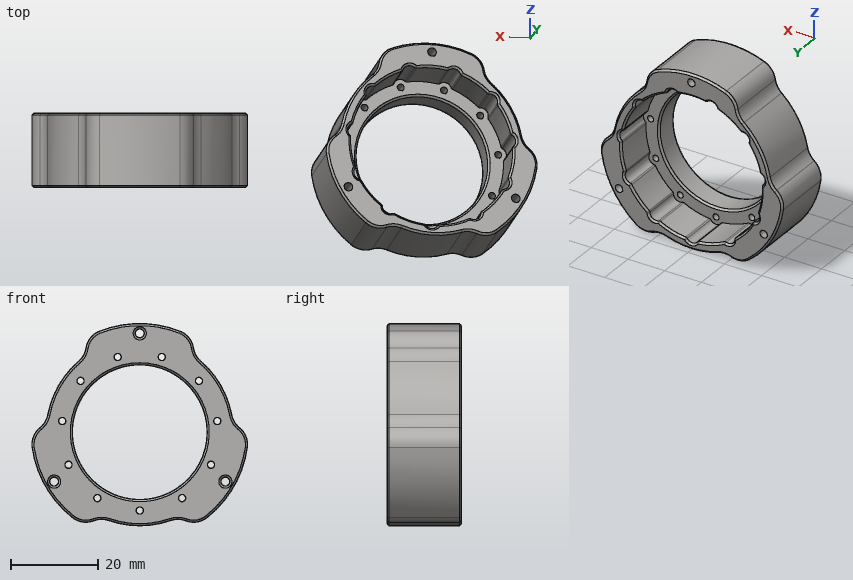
import cadquery as cq
import math

WIDTH = 17.1
EDGE_CHAMFER = 0.5

LOBE_COUNT = 3
LOBE_RADIUS = 25.0
WAIST_RADIUS = 21.5
BLEND_RADIUS = 5.0
LOBE_HALF_ANGLE = 21.8

BORE_RADIUS = 15.45
LIP_THICKNESS = 6.5

POCKET_RADIUS = 19.05
SCALLOP_RADIUS = 1.75
SCALLOP_DEPTH = 0.9
SCALLOP_EDGE_FILLET = 0.55

SCREW_COUNT = 11
SCREW_CIRCLE_RADIUS = 18.0
SCREW_HOLE_DIAMETER = 1.6

LOBE_HOLE_CIRCLE_RADIUS = 22.7
LOBE_HOLE_DIAMETER = 2.0
COUNTERSINK_DIAMETER = 3.02
COUNTERSINK_ANGLE = 90


def polar(radius, angle):
    """Point at an angle in degrees, clockwise from straight up (+Z)."""
    turn = math.radians(angle)
    return (radius * math.sin(turn), radius * math.cos(turn))


def point_towards(start, end, distance):
    """Point at a distance from start on the line to end."""
    share = distance / math.dist(start, end)
    return tuple(a + (b - a) * share for a, b in zip(start, end))


def arc_middle(centre, start, end):
    """Middle point of the short blend arc from start to end."""
    chord_middle = tuple((a + b) / 2 for a, b in zip(start, end))
    return point_towards(centre, chord_middle, BLEND_RADIUS)


def front_plane(depth=0):
    """Sketch plane facing -Y, at a depth behind the front face."""
    return cq.Workplane("XZ", origin=(0, depth, 0))


crest_distance = LOBE_RADIUS - BLEND_RADIUS
hollow_distance = WAIST_RADIUS + BLEND_RADIUS

blend_angle = math.degrees(math.acos(
    (crest_distance**2 + hollow_distance**2 - (2 * BLEND_RADIUS)**2)
    / (2 * crest_distance * hollow_distance)
))
waist_start_angle = LOBE_HALF_ANGLE + blend_angle


def blend_points(lobe_middle, side):
    """Points of one S-blend, lobe to waist; side is +1 clockwise of the lobe, -1 before it."""
    lobe_angle = lobe_middle + side * LOBE_HALF_ANGLE
    waist_angle = lobe_middle + side * waist_start_angle
    crest_centre = polar(crest_distance, lobe_angle)
    hollow_centre = polar(hollow_distance, waist_angle)

    lobe_end = polar(LOBE_RADIUS, lobe_angle)
    inflection = point_towards(crest_centre, hollow_centre, BLEND_RADIUS)
    waist_end = polar(WAIST_RADIUS, waist_angle)
    crest = arc_middle(crest_centre, lobe_end, inflection)
    hollow = arc_middle(hollow_centre, inflection, waist_end)
    return lobe_end, crest, inflection, hollow, waist_end


def lobed_outline():
    pitch = 360 / LOBE_COUNT
    outline = front_plane().moveTo(*polar(LOBE_RADIUS, -LOBE_HALF_ANGLE))
    for lobe in range(LOBE_COUNT):
        middle = lobe * pitch
        next_middle = middle + pitch

        lobe_end, crest, inflection, hollow, waist_end = blend_points(middle, 1)
        outline = (
            outline.threePointArc(polar(LOBE_RADIUS, middle), lobe_end)
            .threePointArc(crest, inflection)
            .threePointArc(hollow, waist_end)
        )

        lobe_end, crest, inflection, hollow, waist_end = blend_points(next_middle, -1)
        outline = (
            outline.threePointArc(polar(WAIST_RADIUS, middle + pitch / 2), waist_end)
            .threePointArc(hollow, inflection)
            .threePointArc(crest, lobe_end)
        )
    return outline.close()


def screw_positions(radius):
    """Evenly spaced points with one straight down (-Z)."""
    return [polar(radius, 180 + i * 360 / SCREW_COUNT) for i in range(SCREW_COUNT)]


def pocket():
    depth = WIDTH - LIP_THICKNESS
    scallop_circle_radius = POCKET_RADIUS + SCALLOP_DEPTH - SCALLOP_RADIUS
    core = front_plane(LIP_THICKNESS).circle(POCKET_RADIUS).extrude(-depth)
    scallops = (
        front_plane(LIP_THICKNESS)
        .pushPoints(screw_positions(scallop_circle_radius))
        .circle(SCALLOP_RADIUS)
        .extrude(-depth)
    )
    return core.union(scallops).edges("|Y").fillet(SCALLOP_EDGE_FILLET)


def bore_edge_cone(depth, direction):
    """Cutter for a chamfer on the bore edge at a depth, narrowing along direction (+1 or -1 in Y)."""
    return cq.Solid.makeCone(
        BORE_RADIUS + EDGE_CHAMFER,
        BORE_RADIUS,
        EDGE_CHAMFER,
        cq.Vector(0, depth, 0),
        cq.Vector(0, direction, 0),
    )


def lip_bore():
    bore = front_plane().circle(BORE_RADIUS).extrude(-LIP_THICKNESS)
    front_chamfer = bore_edge_cone(0, 1)
    rear_chamfer = bore_edge_cone(LIP_THICKNESS, -1)
    return bore.union(front_chamfer).union(rear_chamfer)


def screw_holes():
    return (
        front_plane()
        .pushPoints(screw_positions(SCREW_CIRCLE_RADIUS))
        .circle(SCREW_HOLE_DIAMETER / 2)
        .extrude(-LIP_THICKNESS)
    )


body = lobed_outline().extrude(-WIDTH).faces("<Y or >Y").chamfer(EDGE_CHAMFER)
body = body.cut(lip_bore()).cut(pocket())

pocket_mouth = body.faces(">Y").wires(cq.selectors.LengthNthSelector(0))
body = pocket_mouth.chamfer(EDGE_CHAMFER)

body = body.cut(screw_holes())

lobe_hole_positions = [
    polar(LOBE_HOLE_CIRCLE_RADIUS, i * 360 / LOBE_COUNT) for i in range(LOBE_COUNT)
]
result = (
    body.copyWorkplane(front_plane())
    .pushPoints(lobe_hole_positions)
    .cskHole(LOBE_HOLE_DIAMETER, COUNTERSINK_DIAMETER, COUNTERSINK_ANGLE)
)